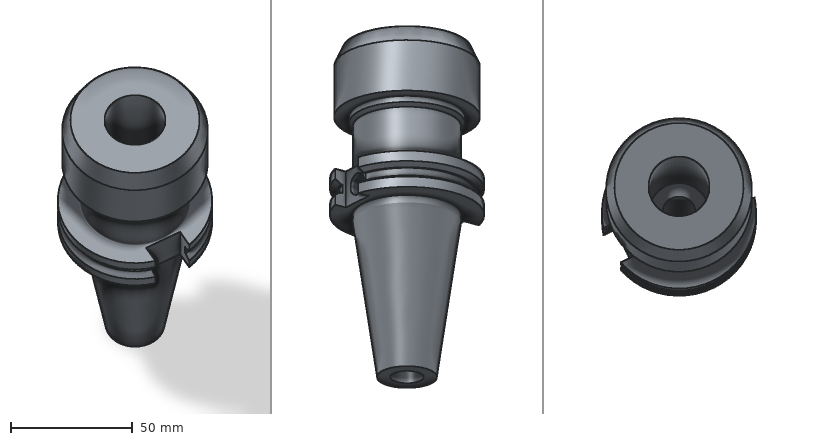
import cadquery as cq

total_height = 144.5
gauge_height = 68.3
flange_bottom = 71.5
flange_thickness = 15.9
flange_top = flange_bottom + flange_thickness
flange_middle = flange_bottom + flange_thickness / 2

gauge_diameter = 44.5
taper_ratio = 7 / 24
gauge_radius = gauge_diameter / 2
taper_end_radius = (gauge_diameter - gauge_height * taper_ratio) / 2

flange_diameter = 63.4
flange_radius = flange_diameter / 2
groove_floor_diameter = 56.2
groove_floor_radius = groove_floor_diameter / 2
groove_floor_width = 3.6
groove_ledge = 0.9
groove_mouth_width = 7.0

neck_radius = gauge_radius
neck_fillet = 0.7
collar_diameter = 47.5
collar_radius = collar_diameter / 2
collar_chamfer_height = 1.6
collar_height = 4.2
nut_diameter = 60.0
nut_radius = nut_diameter / 2
nut_height = 29.8
nut_chamfer_height = 7.5
nut_chamfer_width = 3.5
nut_bottom = total_height - nut_height
collar_bottom = nut_bottom - collar_height

slot_width = 16.0
left_floor_distance = 25.3
right_floor_distance = 23.1

pocket_diameter = 9.4
pocket_depth = 5.0

socket_diameter = 25.0
socket_depth = 57.8
through_diameter = 13.7


def turned_body():
    """Revolve the half outline of the holder about Z."""
    groove_floor_low = flange_middle - groove_floor_width / 2
    groove_floor_high = flange_middle + groove_floor_width / 2
    groove_mouth_low = flange_middle - groove_mouth_width / 2
    groove_mouth_high = flange_middle + groove_mouth_width / 2
    outline = (
        cq.Workplane("XZ")
        .lineTo(taper_end_radius, 0)
        .lineTo(gauge_radius, gauge_height)
        .lineTo(gauge_radius, flange_bottom)
        .lineTo(flange_radius, flange_bottom)
        .lineTo(flange_radius, groove_mouth_low)
        .lineTo(groove_floor_radius + groove_ledge, groove_floor_low)
        .lineTo(groove_floor_radius, groove_floor_low)
        .lineTo(groove_floor_radius, groove_floor_high)
        .lineTo(groove_floor_radius + groove_ledge, groove_floor_high)
        .lineTo(flange_radius, groove_mouth_high)
        .lineTo(flange_radius, flange_top)
        .lineTo(neck_radius + neck_fillet, flange_top)
        .radiusArc((neck_radius, flange_top + neck_fillet), neck_fillet)
        .lineTo(neck_radius, collar_bottom)
        .lineTo(collar_radius, collar_bottom + collar_chamfer_height)
        .lineTo(collar_radius, nut_bottom)
        .lineTo(nut_radius, nut_bottom)
        .lineTo(nut_radius, total_height - nut_chamfer_height)
        .lineTo(nut_radius - nut_chamfer_width, total_height)
        .lineTo(0, total_height)
        .close()
    )
    return outline.revolve(360, (0, 0, 0), (0, 1, 0))


def drive_slot(side, floor_distance):
    """Box that cuts one drive slot; side is -1 for -X and +1 for +X."""
    slot_depth = flange_radius - floor_distance
    slot_center = side * (floor_distance + slot_depth / 2)
    return (
        cq.Workplane("XY")
        .box(slot_depth, slot_width, flange_thickness)
        .translate((slot_center, 0, flange_middle))
    )


def slot_pocket():
    """Cylinder that sinks the round pocket into the -X slot floor."""
    return (
        cq.Workplane("YZ", origin=(-left_floor_distance, 0, flange_middle))
        .circle(pocket_diameter / 2)
        .extrude(pocket_depth)
    )


def stepped_bore():
    """Through hole with the wider tool socket at its top."""
    through_hole = cq.Workplane("XY").circle(through_diameter / 2).extrude(total_height)
    socket = (
        cq.Workplane("XY", origin=(0, 0, total_height - socket_depth))
        .circle(socket_diameter / 2)
        .extrude(socket_depth)
    )
    return through_hole.union(socket)


result = turned_body()
result = result.cut(drive_slot(-1, left_floor_distance))
result = result.cut(drive_slot(1, right_floor_distance))
result = result.cut(slot_pocket())
result = result.cut(stepped_bore())